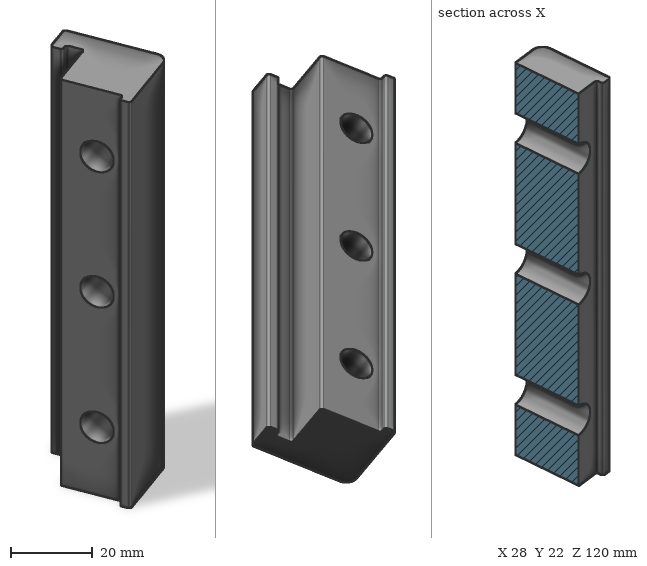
import cadquery as cq

width = 28.0
depth = 22.0
length = 120.0

body_left = 8.0
body_depth = 19.9
lip_width = 3.2
lip_depth = 7.9
slot_roof = 5.9
lug_width = 3.0

back_corner_radius = 3.0
edge_radius = 0.7

hole_diameter = 9.0
hole_count = 3

left = -width / 2
right = width / 2
back = depth / 2
front = -depth / 2
body_wall = left + body_left
body_front = back - body_depth
lug_left = right - lug_width
hole_pitch = length / hole_count


def make_rail():
    """Extrude the stepped profile, with the hooked lip on the left and the lug at front right."""
    outline = [
        (left, back),
        (right, back),
        (right, front),
        (lug_left, front),
        (lug_left, body_front),
        (body_wall, body_front),
        (body_wall, back - slot_roof),
        (left + lip_width, back - slot_roof),
        (left + lip_width, back - lip_depth),
        (left, back - lip_depth),
    ]
    return cq.Workplane("XY").polyline(outline).close().extrude(length)


def round_edges(rail):
    """Give the back right corner a large radius and every other long edge a small one."""
    back_right_edge = cq.selectors.NearestToPointSelector((right, back, length / 2))
    small_edges = cq.StringSyntaxSelector("|Z") - back_right_edge
    rail = rail.edges(small_edges).fillet(edge_radius)
    return rail.edges(back_right_edge).fillet(back_corner_radius)


def make_holes():
    """Row of evenly spaced cylinders centred across the body."""
    centre_x = (body_wall + right) / 2
    holes = cq.Workplane("XZ", origin=(centre_x, back, length / 2))
    return holes.rarray(1.2, hole_pitch, 1, hole_count).circle(hole_diameter / 2).extrude(depth)


result = round_edges(make_rail()).cut(make_holes())